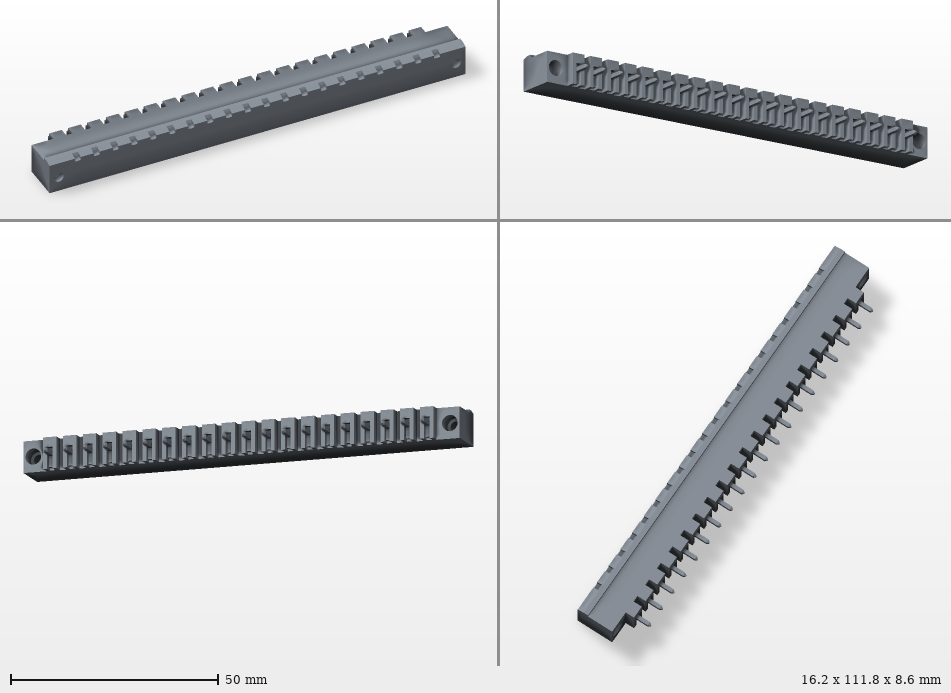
import cadquery as cq
import math

PITCH = 5.08
PIN_COUNT = 20
LENGTH = (PIN_COUNT + 2) * PITCH
PIN_POSITIONS = [(i - (PIN_COUNT - 1) / 2) * PITCH for i in range(PIN_COUNT)]
MOUNTING_HOLE_POSITIONS = [PIN_POSITIONS[0] - PITCH, PIN_POSITIONS[-1] + PITCH]

BEAM_DEPTH = 10.0
BEAM_HEIGHT = 7.85
LIP_HEIGHT = 8.6
LIP_DEPTH = 3.0
LIP_SLOPE_DEPTH = 1.7
LIP_SLOPE_ANGLE = 15.0
LIP_SLOPE_DROP = LIP_SLOPE_DEPTH * math.tan(math.radians(LIP_SLOPE_ANGLE))
AXIS_HEIGHT = 3.9

STANDOFF_DEPTH = 2.4
STANDOFF_WIDTH = 3.4
GROOVE_WIDTH = 1.4
GROOVE_TOP = 5.4
GROOVE_DEPTH = 1.2
GROOVE_FOOT_HEIGHT = 0.65
GROOVE_FOOT_DEPTH = 2.0

PIN_SIZE = 1.0
PIN_LENGTH = 3.8
PIN_TIP_LENGTH = 0.6
PIN_TAPER_ANGLE = 30.0

NOTCH_WIDTH = 1.6
NOTCH_DEPTH = 0.9
NOTCH_FLOOR_SAG = 0.15
NOTCH_BACK_ANGLE = 35.0

HOLE_DIAMETER = 2.5
COUNTERBORE_DIAMETER = 4.0
COUNTERBORE_DEPTH = 4.0


def block(x_start, x_end, y_centre, width, z_start, z_end):
    """Box between two X and two Z limits, centred on y_centre."""
    size = (x_end - x_start, width, z_end - z_start)
    return cq.Workplane("XY").box(*size, centered=(False, True, False)).translate((x_start, y_centre, z_start))


def make_beam():
    """Long beam with the raised, forward-sloping lip along its mating edge."""
    profile = [
        (0, 0),
        (BEAM_DEPTH, 0),
        (BEAM_DEPTH, LIP_HEIGHT - LIP_SLOPE_DROP),
        (BEAM_DEPTH - LIP_SLOPE_DEPTH, LIP_HEIGHT),
        (BEAM_DEPTH - LIP_DEPTH, LIP_HEIGHT),
        (BEAM_DEPTH - LIP_DEPTH, BEAM_HEIGHT),
        (0, BEAM_HEIGHT),
    ]
    return cq.Workplane("XZ").polyline(profile).close().extrude(LENGTH / 2, both=True)


def make_standoff(y):
    """Standoff with a groove open at the bottom, cut deeper at its foot."""
    standoff = block(-STANDOFF_DEPTH, 0, y, STANDOFF_WIDTH, 0, BEAM_HEIGHT)
    groove_floor = GROOVE_DEPTH - STANDOFF_DEPTH
    foot_floor = GROOVE_FOOT_DEPTH - STANDOFF_DEPTH
    groove = block(-STANDOFF_DEPTH, groove_floor, y, GROOVE_WIDTH, GROOVE_FOOT_HEIGHT, GROOVE_TOP)
    foot = block(-STANDOFF_DEPTH, foot_floor, y, GROOVE_WIDTH, 0, GROOVE_FOOT_HEIGHT)
    return standoff.cut(groove).cut(foot)


def make_pin(y):
    """Pin from inside the standoff to its tapered tip beyond the rear face."""
    tip_start = -STANDOFF_DEPTH - PIN_LENGTH + PIN_TIP_LENGTH
    half = PIN_SIZE / 2
    shank = block(tip_start, 0, y, PIN_SIZE, AXIS_HEIGHT - half, AXIS_HEIGHT + half)
    tip = (
        cq.Workplane("YZ", origin=(tip_start, y, AXIS_HEIGHT))
        .rect(PIN_SIZE, PIN_SIZE)
        .extrude(-PIN_TIP_LENGTH, taper=PIN_TAPER_ANGLE)
    )
    return shank.union(tip)


def make_notch(y):
    """Cutter for a coding notch whose shallow arched floor runs parallel to the lip slope."""
    half = NOTCH_WIDTH / 2
    slope = math.radians(LIP_SLOPE_ANGLE)
    crest = (BEAM_DEPTH - LIP_SLOPE_DEPTH, y, LIP_HEIGHT)
    plane = cq.Plane(origin=crest, xDir=(0, 1, 0), normal=(math.cos(slope), 0, -math.sin(slope)))
    run = 2 * LIP_SLOPE_DEPTH
    cutter = (
        cq.Workplane(plane)
        .moveTo(-half, NOTCH_DEPTH)
        .lineTo(-half, -NOTCH_DEPTH + NOTCH_FLOOR_SAG)
        .threePointArc((0, -NOTCH_DEPTH), (half, -NOTCH_DEPTH + NOTCH_FLOOR_SAG))
        .lineTo(half, NOTCH_DEPTH)
        .close()
        .extrude(run, both=True)
    )
    lean = math.tan(math.radians(NOTCH_BACK_ANGLE))
    in_front = (
        cq.Workplane("XZ", origin=(crest[0], y, LIP_HEIGHT))
        .polyline([(0, 0), (run * lean, -run), (run, -run), (run, 0)])
        .close()
        .extrude(half, both=True)
    )
    return cutter.intersect(in_front)


def make_mounting_hole(y):
    """Cutter for a through hole, counterbored from the rear."""
    rear = cq.Workplane("YZ", origin=(0, y, AXIS_HEIGHT))
    through = rear.circle(HOLE_DIAMETER / 2).extrude(BEAM_DEPTH)
    return through.union(rear.circle(COUNTERBORE_DIAMETER / 2).extrude(COUNTERBORE_DEPTH))


result = make_beam()
for pin_y in PIN_POSITIONS:
    result = result.union(make_standoff(pin_y)).union(make_pin(pin_y)).cut(make_notch(pin_y))
for hole_y in MOUNTING_HOLE_POSITIONS:
    result = result.cut(make_mounting_hole(hole_y))